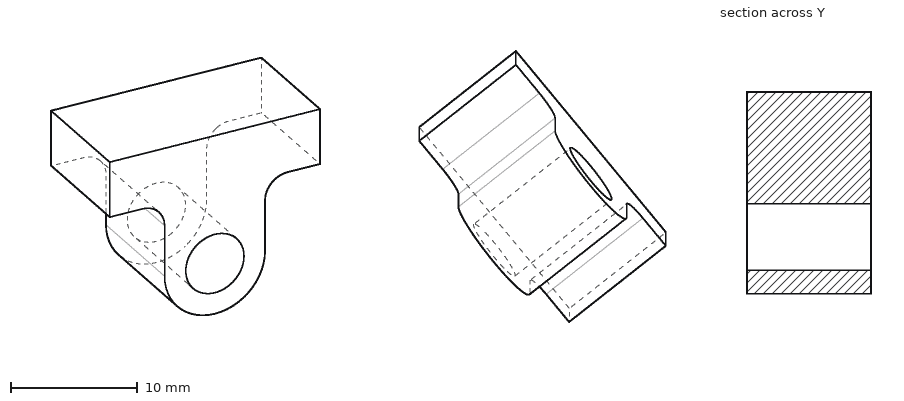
import cadquery as cq

length_x = 9.8
plate_width = 18.8
total_height = 15.9

plate_thickness = 4.9
lug_radius = 4.5
hole_diameter = 5.2
fillet_radius = 2.0

plate_top = total_height - lug_radius
plate_bottom = plate_top - plate_thickness
fillet_end = plate_bottom - fillet_radius

half_plate = plate_width / 2
fillet_start = lug_radius + fillet_radius


def make_profile():
    """T-shaped section in the YZ plane with a rounded lug end, extruded along X."""
    return (
        cq.Workplane("YZ")
        .moveTo(-half_plate, plate_top)
        .lineTo(half_plate, plate_top)
        .lineTo(half_plate, plate_bottom)
        .lineTo(fillet_start, plate_bottom)
        .radiusArc((lug_radius, fillet_end), -fillet_radius)
        .lineTo(lug_radius, 0)
        .threePointArc((0, -lug_radius), (-lug_radius, 0))
        .lineTo(-lug_radius, fillet_end)
        .radiusArc((-fillet_start, plate_bottom), -fillet_radius)
        .lineTo(-half_plate, plate_bottom)
        .close()
        .extrude(length_x / 2, both=True)
    )


def make_hole():
    """Pin hole running the full length of the lug, concentric with its round end."""
    return cq.Workplane("YZ").circle(hole_diameter / 2).extrude(length_x / 2, both=True)


result = make_profile().cut(make_hole())